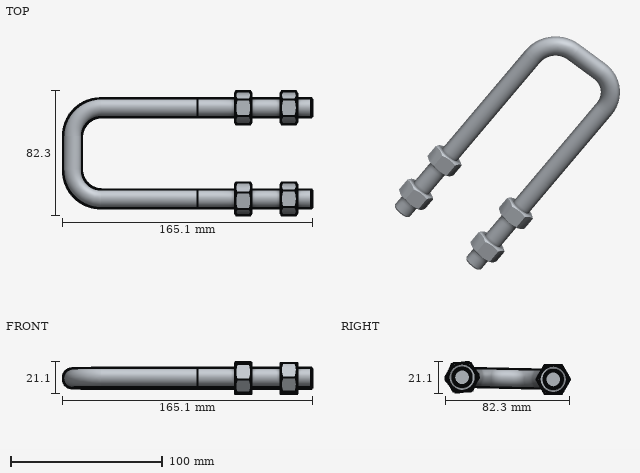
import cadquery as cq
import math

rod_diameter = 12.7
thread_diameter = 12.69
thread_tip_diameter = 10.59
leg_spacing = 60.3
bend_radius = 1.5 * rod_diameter
overall_length = 165.1
thread_length = 76.2
lean_angle = -1.3

nut_flats = 19.05
nut_height = 11.11
nut_face_diameter = 0.95 * nut_flats
nut_chamfer_angle = 30.0
outer_nut_setback = 15.6
nut_pitch = 30.2

bend_start_x = rod_diameter / 2 + bend_radius
thread_start_x = overall_length - thread_length
leg_y = leg_spacing / 2
outer_nut_x = overall_length - outer_nut_setback
inner_nut_x = outer_nut_x - nut_pitch

turned_nut_angle = 8.0
nut_placements = [
    (inner_nut_x, leg_y, 0.0),
    (outer_nut_x, leg_y, 0.0),
    (inner_nut_x, -leg_y, turned_nut_angle),
    (outer_nut_x, -leg_y, 0.0),
]


def make_bent_rod():
    """Plain part of the rod: two legs, two round bends and the straight back."""
    back_x = rod_diameter / 2
    back_y = leg_y - bend_radius
    mid_offset = bend_radius * math.sin(math.radians(45))
    bend_mid_x = bend_start_x - mid_offset
    bend_mid_y = back_y + mid_offset
    path = (
        cq.Workplane("XY")
        .moveTo(thread_start_x, leg_y)
        .lineTo(bend_start_x, leg_y)
        .threePointArc((bend_mid_x, bend_mid_y), (back_x, back_y))
        .lineTo(back_x, -back_y)
        .threePointArc((bend_mid_x, -bend_mid_y), (bend_start_x, -leg_y))
        .lineTo(thread_start_x, -leg_y)
    )
    profile = cq.Workplane("YZ", origin=(thread_start_x, leg_y, 0)).circle(rod_diameter / 2)
    return profile.sweep(path)


def make_threaded_end(y):
    """Threaded end of the leg at the given Y, chamfered at its tip."""
    tip_chamfer = (thread_diameter - thread_tip_diameter) / 2
    return (
        cq.Workplane("YZ", origin=(thread_start_x, y, 0))
        .circle(thread_diameter / 2)
        .extrude(thread_length)
        .faces(">X")
        .chamfer(tip_chamfer)
    )


def make_u_bolt():
    u_bolt = make_bent_rod()
    for y in (leg_y, -leg_y):
        u_bolt = u_bolt.union(make_threaded_end(y))
    return u_bolt.rotate((0, 0, 0), (1, 0, 0), lean_angle)


def make_nut(x, y, turn):
    """Hex nut centred on a leg, with both faces chamfered to a round land."""
    corner_diameter = nut_flats / math.cos(math.radians(30))
    corner_radius = corner_diameter / 2
    face_radius = nut_face_diameter / 2
    half_height = nut_height / 2
    chamfer_depth = (corner_radius - face_radius) * math.tan(math.radians(nut_chamfer_angle))
    edge_x = half_height - chamfer_depth
    hexagon = (
        cq.Workplane("YZ", origin=(-half_height, 0, 0))
        .polygon(6, corner_diameter)
        .extrude(nut_height)
    )
    chamfer_envelope = (
        cq.Workplane("XY")
        .moveTo(-half_height, 0)
        .lineTo(-half_height, face_radius)
        .lineTo(-edge_x, corner_radius)
        .lineTo(edge_x, corner_radius)
        .lineTo(half_height, face_radius)
        .lineTo(half_height, 0)
        .close()
        .revolve(360, (0, 0, 0), (1, 0, 0))
    )
    bore = (
        cq.Workplane("YZ", origin=(-half_height, 0, 0))
        .circle(thread_diameter / 2)
        .extrude(nut_height)
    )
    nut = hexagon.intersect(chamfer_envelope).cut(bore)
    lean_radians = math.radians(lean_angle)
    center = (x, y * math.cos(lean_radians), y * math.sin(lean_radians))
    return nut.rotate((0, 0, 0), (1, 0, 0), turn).translate(center)


u_bolt = make_u_bolt()
nuts = [make_nut(x, y, turn) for x, y, turn in nut_placements]

result = cq.Compound.makeCompound([u_bolt.val(), *[nut.val() for nut in nuts]])